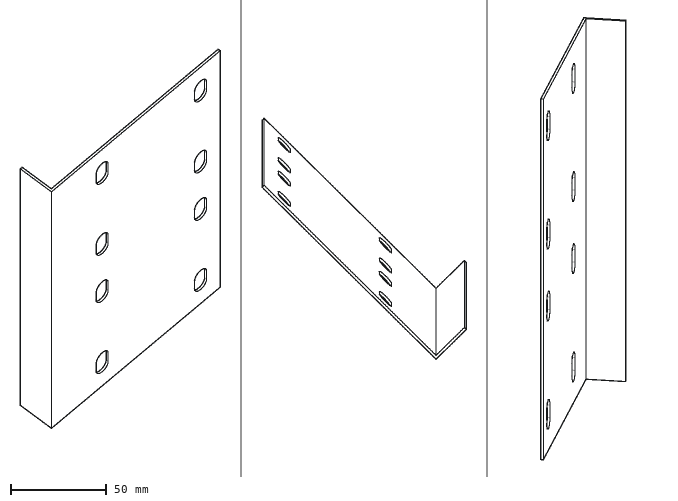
import cadquery as cq

flange_width = 22.5
plate_width = 128.8
height = 200.0
thickness = 1.5

slot_width = 9.0
slot_length = 16.0
edge_to_slot_column = 15.0
slot_column_spacing = 75.0
outer_row_height = 80.0
inner_row_height = 20.0

plate_outer_x = flange_width / 2
flange_outer_y = -plate_width / 2
plate_free_y = plate_width / 2


def make_angle():
    """L-shaped sheet: a wide plate with a narrow flange along its -Y edge."""
    plate_inner_x = plate_outer_x - thickness
    flange_inner_y = flange_outer_y + thickness
    flange_free_x = -flange_width / 2
    return (
        cq.Workplane("XY")
        .workplane(offset=-height / 2)
        .moveTo(flange_free_x, flange_outer_y)
        .lineTo(plate_outer_x, flange_outer_y)
        .lineTo(plate_outer_x, plate_free_y)
        .lineTo(plate_inner_x, plate_free_y)
        .lineTo(plate_inner_x, flange_inner_y)
        .lineTo(flange_free_x, flange_inner_y)
        .close()
        .extrude(height)
    )


def make_slots():
    """Cutters for two columns of four slots, running along X."""
    far_column_y = plate_free_y - edge_to_slot_column
    near_column_y = far_column_y - slot_column_spacing
    rows = (-outer_row_height, -inner_row_height, inner_row_height, outer_row_height)
    centres = [(y, z) for y in (near_column_y, far_column_y) for z in rows]
    return (
        cq.Workplane("YZ")
        .pushPoints(centres)
        .slot2D(slot_length, slot_width, 90)
        .extrude(flange_width)
    )


result = make_angle().cut(make_slots())